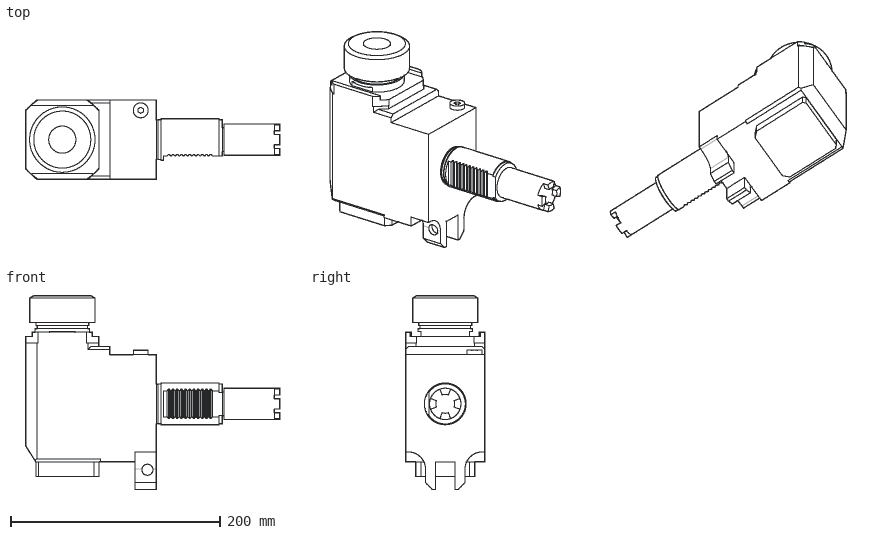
import math

import cadquery as cq


BODY_LENGTH = 125.0
BODY_WIDTH = 76.0
BODY_BOTTOM = -55.5
SHANK_END_TOP = 47.0
STEP_TOP = 55.0
STEP_END_X = -44.6
STEP_CHAMFER = 3.0
HEAD_TOP = 58.0
HEAD_LENGTH = 70.0
HEAD_CORNER_X = 10.6
HEAD_CORNER_Y = 9.8
HEAD_CORNER_BOTTOM = STEP_TOP - STEP_CHAMFER
NOSE_SLOPE_X = 9.5
NOSE_SLOPE_Z = 15.3
BASE_CHAMFER = 3.0
BASE_CHAMFER_END_X = -53.3

SPINDLE_X = -BODY_LENGTH + HEAD_LENGTH / 2
PLATE_CORNER_RADIUS = 44.45
PLATE_TOP = 64.5
LIP_TOP = 68.5
LIP_WIDTH = 5.5
LIP_HALF_LENGTH = 28.8

NECK_RADIUS = 26.2
NECK_FLAT_DISTANCE = 46.4
NECK_FLAT_TOP = 69.0
NECK_TOP = 72.0
GROOVE_RADIUS = 24.2
GROOVE_TOP = 74.8
COLLAR_RADIUS = 25.4
NUT_BOTTOM = 77.7
NUT_TOP = 103.6
NUT_DIAMETER = 62.6
NUT_CHAMFER_RADIAL = 4.0
NUT_CHAMFER_HEIGHT = 2.5
NUT_BORE_DIAMETER = 26.0
NUT_BORE_DEPTH = 14.2

PLUG_START_X = -115.2
PLUG_END_X = -54.7
PLUG_WIDTH = 56.8
PLUG_BOTTOM = -69.6
PLUG_FRONT_CHAMFER = 2.5
PLUG_REAR_CHAMFER = 5.1

JAW_LENGTH = 20.7
JAW_BOTTOM = -82.06
JAW_OUTER_Y = 18.9
JAW_INNER_Y = 9.1
JAW_CHAMFER = 6.7
RELIEF_TOP = -46.0
RELIEF_RADIUS = 16.3
JAW_HOLE_DIAMETER = 10.6
JAW_HOLE_X = -8.6
JAW_HOLE_Z = -63.0
JAW_HOLE_DEPTH = 5.0

SCREW_X = -15.0
SCREW_Y = 28.0
SCREW_DIAMETER = 14.3
SCREW_HEIGHT = 4.3
SCREW_HEX_ACROSS_CORNERS = 5.8
SCREW_HEX_DEPTH = 3.0

SHANK_RADIUS = 20.0
SHANK_LENGTH = 63.2
SHANK_ROOT_RADIUS = 18.8
SHANK_ROOT_LENGTH = 1.4
SHANK_RELIEF_RADIUS = 19.2
SHANK_RELIEF_LENGTH = 4.4
SHANK_TIP_LENGTH = 3.2
RACK_START_X = 7.0
RACK_FLAT_Y = -15.7
VALLEY_COUNT = 11
VALLEY_PITCH = 4.0
VALLEY_DEPTH = 1.4
VALLEY_WIDTH = 3.3
VALLEY_FLOOR_WIDTH = 0.9
FIRST_VALLEY_X = 11.9

COUPLING_NECK_RADIUS = 11.5
COUPLING_START_X = 64.5
COUPLING_END_X = 118.0
COUPLING_RADIUS = 15.0
CLAW_LENGTH = 5.3
CLAW_COUNT = 4
CLAW_OUTER_WIDTH = 10.2
CLAW_BORE_RADIUS = 9.0


def block(x0, x1, y0, y1, z0, z1):
    """Axis-aligned box between two opposite corners."""
    return cq.Workplane("XY").box(x1 - x0, y1 - y0, z1 - z0, centered=False).translate((x0, y0, z0))


def disc(x, y, z0, z1, radius):
    """Upright cylinder between two heights."""
    return cq.Workplane("XY").workplane(offset=z0).center(x, y).circle(radius).extrude(z1 - z0)


def rod(x0, x1, radius):
    """Cylinder on the shank axis between two X positions."""
    return cq.Workplane("YZ").workplane(offset=x0).circle(radius).extrude(x1 - x0)


def make_housing():
    half_width = BODY_WIDTH / 2
    head_end = -BODY_LENGTH + HEAD_LENGTH
    chamfer_start = -BODY_LENGTH + HEAD_CORNER_X
    corner_y = half_width - HEAD_CORNER_Y

    side_outline = [
        (-BODY_LENGTH, BODY_BOTTOM + NOSE_SLOPE_Z),
        (-BODY_LENGTH + NOSE_SLOPE_X, BODY_BOTTOM),
        (0, BODY_BOTTOM),
        (0, SHANK_END_TOP),
        (STEP_END_X, SHANK_END_TOP),
        (STEP_END_X, HEAD_TOP),
        (-BODY_LENGTH, HEAD_TOP),
    ]
    housing = cq.Workplane("XZ").polyline(side_outline).close().extrude(half_width, both=True)

    plan_outline = [
        (-BODY_LENGTH, -corner_y),
        (chamfer_start, -half_width),
        (0, -half_width),
        (0, half_width),
        (chamfer_start, half_width),
        (-BODY_LENGTH, corner_y),
    ]
    plan = cq.Workplane("XY").workplane(offset=BODY_BOTTOM).polyline(plan_outline).close()
    housing = housing.intersect(plan.extrude(HEAD_TOP - BODY_BOTTOM))

    top_cutter = block(chamfer_start, STEP_END_X, -half_width, half_width, HEAD_CORNER_BOTTOM, HEAD_TOP)
    head_outline = [
        (chamfer_start, -half_width),
        (head_end - HEAD_CORNER_X, -half_width),
        (head_end, -corner_y),
        (head_end, corner_y),
        (head_end - HEAD_CORNER_X, half_width),
        (chamfer_start, half_width),
    ]
    head = cq.Workplane("XY").workplane(offset=HEAD_CORNER_BOTTOM).polyline(head_outline).close()
    head = head.extrude(HEAD_TOP - HEAD_CORNER_BOTTOM)
    step_profile = [
        (-half_width, HEAD_CORNER_BOTTOM),
        (half_width, HEAD_CORNER_BOTTOM),
        (half_width - STEP_CHAMFER, STEP_TOP),
        (-half_width + STEP_CHAMFER, STEP_TOP),
    ]
    step_start = head_end - HEAD_CORNER_X
    step = cq.Workplane("YZ").workplane(offset=step_start).polyline(step_profile).close()
    step = step.extrude(STEP_END_X - step_start)
    housing = housing.cut(top_cutter).union(head).union(step)

    for side in (-1, 1):
        chamfer_triangle = [
            (side * half_width, BODY_BOTTOM),
            (side * half_width, BODY_BOTTOM + BASE_CHAMFER),
            (side * (half_width - BASE_CHAMFER), BODY_BOTTOM),
        ]
        wedge = cq.Workplane("YZ").workplane(offset=-BODY_LENGTH).polyline(chamfer_triangle).close()
        housing = housing.cut(wedge.extrude(BODY_LENGTH + BASE_CHAMFER_END_X))
    return housing


def make_cover_plate():
    half_length = HEAD_LENGTH / 2
    half_width = BODY_WIDTH / 2
    x0 = SPINDLE_X - half_length
    x1 = SPINDLE_X + half_length
    plate = block(x0, x1, -half_width, half_width, HEAD_TOP, PLATE_TOP)
    for inner, outer in ((half_width - LIP_WIDTH, half_width), (-half_width, LIP_WIDTH - half_width)):
        lip = block(
            SPINDLE_X - LIP_HALF_LENGTH, SPINDLE_X + LIP_HALF_LENGTH, inner, outer, PLATE_TOP, LIP_TOP
        )
        plate = plate.union(lip)
    return plate.intersect(disc(SPINDLE_X, 0, HEAD_TOP, LIP_TOP, PLATE_CORNER_RADIUS))


def make_spindle():
    nut_radius = NUT_DIAMETER / 2
    profile = [
        (0, HEAD_TOP),
        (NECK_RADIUS, HEAD_TOP),
        (NECK_RADIUS, NECK_TOP),
        (GROOVE_RADIUS, NECK_TOP),
        (GROOVE_RADIUS, GROOVE_TOP),
        (COLLAR_RADIUS, GROOVE_TOP),
        (COLLAR_RADIUS, NUT_BOTTOM),
        (nut_radius, NUT_BOTTOM),
        (nut_radius, NUT_TOP - NUT_CHAMFER_HEIGHT),
        (nut_radius - NUT_CHAMFER_RADIAL, NUT_TOP),
        (NUT_BORE_DIAMETER / 2, NUT_TOP),
        (NUT_BORE_DIAMETER / 2, NUT_TOP - NUT_BORE_DEPTH),
        (0, NUT_TOP - NUT_BORE_DEPTH),
    ]
    spindle = cq.Workplane("XZ").polyline(profile).close().revolve(360, (0, 0), (0, 1))
    flat_y = NECK_FLAT_DISTANCE / 2
    for y0, y1 in ((-NECK_RADIUS, -flat_y), (flat_y, NECK_RADIUS)):
        spindle = spindle.cut(block(-NECK_RADIUS, NECK_RADIUS, y0, y1, HEAD_TOP, NECK_FLAT_TOP))
    return spindle.translate((SPINDLE_X, 0, 0))


def make_plug():
    half_width = PLUG_WIDTH / 2
    plug = block(PLUG_START_X, PLUG_END_X, -half_width, half_width, PLUG_BOTTOM, BODY_BOTTOM)
    plug = plug.edges("|Z and <X").chamfer(PLUG_FRONT_CHAMFER)
    return plug.edges("|Z and >X").chamfer(PLUG_REAR_CHAMFER)


def shape_clamp_end(housing):
    """Relieve the lower shank end on both sides and leave two jaws hanging below it."""
    half_width = BODY_WIDTH / 2
    arc_center_z = RELIEF_TOP - RELIEF_RADIUS
    arc_end_y = JAW_OUTER_Y + RELIEF_RADIUS
    diagonal = RELIEF_RADIUS * math.sqrt(0.5)
    relief = (
        cq.Workplane("YZ")
        .workplane(offset=-JAW_LENGTH)
        .moveTo(half_width, RELIEF_TOP)
        .lineTo(arc_end_y, RELIEF_TOP)
        .threePointArc((arc_end_y - diagonal, arc_center_z + diagonal), (JAW_OUTER_Y, arc_center_z))
        .lineTo(half_width, arc_center_z)
        .close()
        .extrude(JAW_LENGTH)
    )
    jaw = (
        cq.Workplane("YZ")
        .workplane(offset=-JAW_LENGTH)
        .polyline([
            (JAW_INNER_Y, BODY_BOTTOM),
            (half_width, BODY_BOTTOM),
            (half_width, arc_center_z),
            (JAW_OUTER_Y, arc_center_z),
            (JAW_OUTER_Y, JAW_BOTTOM + JAW_CHAMFER),
            (JAW_OUTER_Y - JAW_CHAMFER, JAW_BOTTOM),
            (JAW_INNER_Y, JAW_BOTTOM),
        ])
        .close()
        .extrude(JAW_LENGTH)
        .cut(relief)
    )
    for side_jaw, side_relief in ((jaw, relief), (jaw.mirror("XZ"), relief.mirror("XZ"))):
        housing = housing.cut(side_relief).union(side_jaw)

    hole = (
        cq.Workplane("XZ", origin=(JAW_HOLE_X, JAW_HOLE_DEPTH - JAW_OUTER_Y, JAW_HOLE_Z))
        .circle(JAW_HOLE_DIAMETER / 2)
        .extrude(half_width)
    )
    return housing.cut(hole)


def make_screw():
    screw_top = SHANK_END_TOP + SCREW_HEIGHT
    screw = disc(SCREW_X, SCREW_Y, SHANK_END_TOP, screw_top, SCREW_DIAMETER / 2)
    socket = (
        cq.Workplane("XY", origin=(SCREW_X, SCREW_Y, screw_top))
        .transformed(rotate=(0, 0, 90))
        .polygon(6, SCREW_HEX_ACROSS_CORNERS)
        .extrude(-SCREW_HEX_DEPTH)
    )
    return screw.cut(socket)


def make_shank():
    tip_start = SHANK_LENGTH - SHANK_TIP_LENGTH
    shank = rod(0, SHANK_ROOT_LENGTH, SHANK_ROOT_RADIUS)
    shank = shank.union(rod(SHANK_ROOT_LENGTH, SHANK_RELIEF_LENGTH, SHANK_RELIEF_RADIUS))
    shank = shank.union(rod(SHANK_RELIEF_LENGTH, tip_start, SHANK_RADIUS))
    shank = shank.union(rod(tip_start, SHANK_LENGTH, SHANK_RELIEF_RADIUS))
    rack_space = block(
        RACK_START_X, SHANK_LENGTH, -SHANK_RADIUS, RACK_FLAT_Y, -SHANK_RADIUS, SHANK_RADIUS
    )
    shank = shank.cut(rack_space)
    valley_profile = [
        (-VALLEY_WIDTH / 2, RACK_FLAT_Y),
        (-VALLEY_FLOOR_WIDTH / 2, RACK_FLAT_Y + VALLEY_DEPTH),
        (VALLEY_FLOOR_WIDTH / 2, RACK_FLAT_Y + VALLEY_DEPTH),
        (VALLEY_WIDTH / 2, RACK_FLAT_Y),
    ]
    valley = cq.Workplane("XY").polyline(valley_profile).close().extrude(SHANK_RADIUS, both=True)
    for index in range(VALLEY_COUNT):
        shank = shank.cut(valley.translate((FIRST_VALLEY_X + index * VALLEY_PITCH, 0, 0)))
    return shank


def make_coupling():
    neck = rod(SHANK_LENGTH, COUPLING_START_X, COUPLING_NECK_RADIUS)
    claw_root = COUPLING_END_X - CLAW_LENGTH
    sleeve = rod(COUPLING_START_X, claw_root, COUPLING_RADIUS)
    ring = rod(claw_root, COUPLING_END_X, COUPLING_RADIUS).cut(
        rod(claw_root, COUPLING_END_X, CLAW_BORE_RADIUS)
    )
    half_angle = math.asin(CLAW_OUTER_WIDTH / 2 / COUPLING_RADIUS)
    sector_reach = 2 * COUPLING_RADIUS
    sector_half_width = sector_reach * math.tan(half_angle)
    sector = (
        cq.Workplane("YZ")
        .workplane(offset=claw_root)
        .polyline([(0, 0), (sector_reach, -sector_half_width), (sector_reach, sector_half_width)])
        .close()
        .extrude(CLAW_LENGTH)
    )
    coupling = neck.union(sleeve)
    for index in range(CLAW_COUNT):
        angle = index * 360 / CLAW_COUNT
        claw = ring.intersect(sector.rotate((0, 0, 0), (1, 0, 0), angle))
        coupling = coupling.union(claw)
    return coupling


result = shape_clamp_end(make_housing())
for component in (
    make_cover_plate(),
    make_spindle(),
    make_plug(),
    make_screw(),
    make_shank(),
    make_coupling(),
):
    result = result.union(component)